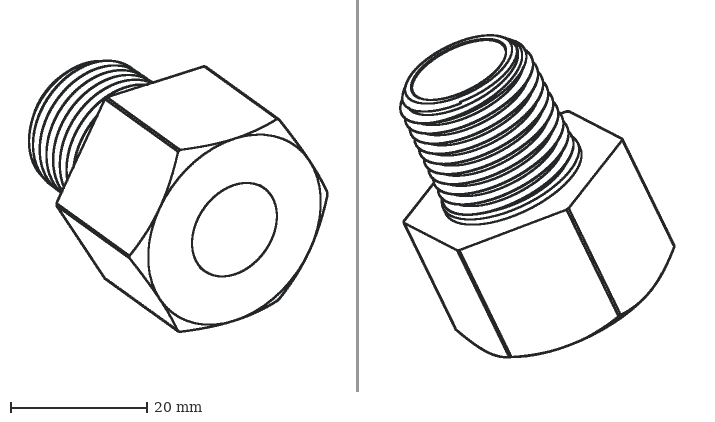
import cadquery as cq
import math

total_length = 41.2
hex_start = 20.23
collar_start = 19.3

across_flats = 30.5
corner_diameter = 34.98
end_chamfer_length = 1.55

collar_diameter = 22.0
bore_diameter = 15.0
bore_chamfer = 0.12

pitch = 1.82
taper_angle = 0.9
root_radius = 9.05
thread_height = 1.3
thread_base_width = 1.15
crest_width = 0.1
root_overlap = 0.12
thread_start = 0.25
lead_face_radius = 8.55
lead_angle = 40.0

taper = math.tan(math.radians(taper_angle))
lead_slope = math.tan(math.radians(lead_angle))


def turned(points):
    """Revolve an (x, radius) outline about the X axis."""
    return cq.Workplane("XY").polyline(points).close().revolve(360, (0, 0, 0), (1, 0, 0))


def make_hex_body():
    """Hexagon with flats facing up and down, turned at its corners and chamfered at the far end."""
    length = total_length - hex_start
    prism_diameter = across_flats / math.cos(math.pi / 6)
    prism = cq.Workplane("YZ", origin=(hex_start, 0, 0)).polygon(6, prism_diameter).extrude(length)
    corner_radius = corner_diameter / 2
    envelope = turned([
        (hex_start, 0),
        (hex_start, corner_radius),
        (total_length - end_chamfer_length, corner_radius),
        (total_length, across_flats / 2),
        (total_length, 0),
    ])
    return prism.intersect(envelope)


def make_shank():
    """Tapered thread core with a lead-in chamfer, and the plain collar behind it."""
    lead_end = (root_radius - lead_face_radius) / (lead_slope - taper)
    return turned([
        (0, 0),
        (0, lead_face_radius),
        (lead_end, root_radius + taper * lead_end),
        (collar_start, root_radius + taper * collar_start),
        (collar_start, collar_diameter / 2),
        (hex_start, collar_diameter / 2),
        (hex_start, 0),
    ])


def make_thread():
    """Right-handed ridge on the tapered core, trimmed by the lead-in cone and the collar."""
    start_radius = root_radius + taper * thread_start
    helix = cq.Wire.makeHelix(pitch, hex_start - thread_start, start_radius, angle=taper_angle)
    base = start_radius - root_overlap
    crest = start_radius + thread_height
    ridge = (
        cq.Workplane("XZ")
        .polyline([
            (base, -thread_base_width / 2),
            (start_radius, -thread_base_width / 2),
            (crest, -crest_width / 2),
            (crest, crest_width / 2),
            (start_radius, thread_base_width / 2),
            (base, thread_base_width / 2),
        ])
        .close()
        .sweep(cq.Workplane(obj=helix), isFrenet=True)
        .rotate((0, 0, 0), (0, 1, 0), 90)
        .translate((thread_start, 0, 0))
    )
    lead_end = (collar_diameter / 2 - lead_face_radius) / lead_slope
    envelope = turned([
        (0, 0),
        (0, lead_face_radius),
        (lead_end, collar_diameter / 2),
        (hex_start, collar_diameter / 2),
        (hex_start, 0),
    ])
    return ridge.intersect(envelope)


def make_bore():
    """Through bore with a small chamfer at the threaded end."""
    bore_radius = bore_diameter / 2
    return turned([
        (0, 0),
        (0, bore_radius + bore_chamfer),
        (bore_chamfer, bore_radius),
        (total_length, bore_radius),
        (total_length, 0),
    ])


result = make_shank().union(make_thread()).union(make_hex_body()).cut(make_bore())